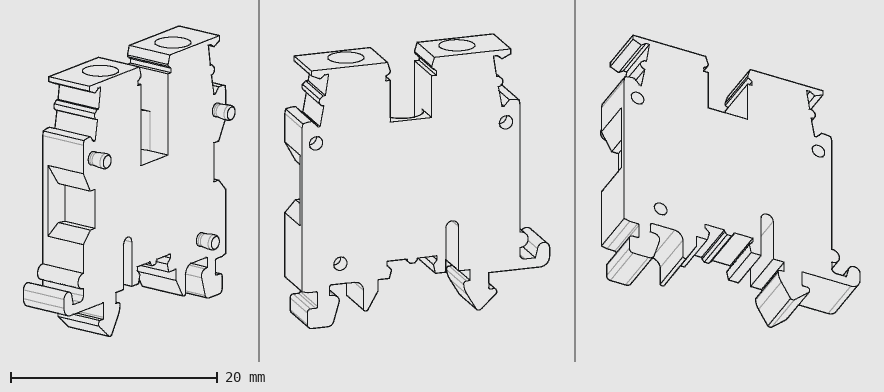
import cadquery as cq

thickness = 5.0
height = 26.25
body_half = 11.2
body_bottom = 4.23
foot_top = 3.7
foot_root = 5.0
hook_reach = 14.25
arm_inner_y = -6.06

gap_half = 2.12
gap_floor = 20.15
wall_ledge = 24.4

screw_diameter = 3.5
screw_depth = 2.0
screw_x = 2.8
screw_y = 5.7

cavity_x = 2.77
cavity_radius = gap_half
cavity_depth = 4.0

entry_wall = 0.65
entry_floor_wall = 1.33
entry_depth = 1.82
entry_taper_depth = 1.1
entry_mouth_bottom = 10.4
entry_mouth_top = 17.6
entry_floor_bottom = 11.6
entry_floor_top = 15.56

pin_places = [(9.76, 18.82), (-9.76, 18.82), (7.26, 6.29)]
pin_length = 1.8
pin_root_radius = 0.68
pin_neck_radius = 0.65
pin_head_radius = 0.74
pin_tip_radius = 0.62
pin_neck_start = 0.2
pin_neck_end = 0.45
pin_crown_start = 1.48
pin_barrel_middle = (0.9, 0.72)
pin_crown_middle = (1.71, 0.705)
socket_diameter = 1.35
socket_depth = pin_length

recess_top = 6.0

slot_width = 1.3
slot_y = -4.23
slot_top = 9.4

bead_radius = 0.78
bead_y = -11.25
bead_z = 6.7


def plate(steps):
    """Extrude a closed (Y, Z) outline through the thickness.

    A step is the next corner (y, z), or a pair (middle, end) for a round stretch.
    """
    outline = cq.Workplane("YZ").moveTo(*steps[0])
    for step in steps[1:]:
        if isinstance(step[0], tuple):
            outline = outline.threePointArc(*step)
        else:
            outline = outline.lineTo(*step)
    return outline.close().extrude(thickness)


def half_body():
    """The half of the body on the +Y side, with one terminal tower."""
    return plate([
        (0, body_bottom),
        (0, gap_floor),
        (gap_half, gap_floor),
        (gap_half, wall_ledge),
        (2.6, wall_ledge),
        (2.6, 24.85),
        (2.17, 25.15),
        (2.12, 25.35),
        (2.4, height),
        (10.25, height),
        (10.25, 25.75),
        (9.35, 25.33),
        (8.85, 25.7),
        (8.48, 25.7),
        (8.8, 23.58),
        (9.05, 23.58),
        (9.38, 23.27),
        ((9.42, 22.9), (8.97, 22.54)),
        (9.35, 20.48),
        (9.55, 20.48),
        (10.1, 21.08),
        ((10.65, 21.06), (11.12, 20.95)),
        (body_half, 20.5),
        (body_half, body_bottom),
    ])


def rail_recess():
    """Recess for the mounting rail, with a small stop in its roof."""
    return plate([
        (2.23, body_bottom),
        (1.99, 5.1),
        (2.47, 5.6),
        (2.47, recess_top),
        (0.4, recess_top),
        (0.35, 5.8),
        (0.1, 5.53),
        (-0.38, 5.53),
        (-0.62, 5.8),
        (-0.67, recess_top),
        (-2.67, recess_top),
        (-2.67, 5.6),
        (-2.3, 5.15),
        (-2.5, body_bottom),
    ])


def spring_slot():
    radius = slot_width / 2
    return plate([
        (slot_y + radius, body_bottom),
        (slot_y + radius, slot_top - radius),
        ((slot_y, slot_top), (slot_y - radius, slot_top - radius)),
        (slot_y - radius, body_bottom),
    ])


def fixed_foot():
    """Foot under the +Y end, hooked inwards around the rail edge."""
    return plate([
        (body_half, foot_root),
        (body_half, 3.86),
        (10.6, foot_top),
        (9.75, foot_top),
        ((9.65, 3.66), (9.62, 3.55)),
        (9.62, 2.2),
        ((9.67, 2.07), (9.8, 2.03)),
        (10.35, 2.03),
        ((10.57, 1.9), (10.65, 1.65)),
        (10.65, 0.45),
        ((10.53, 0.14), (10.25, 0)),
        (8.6, 0),
        ((8.2, 0.12), (7.97, 0.4)),
        (7.4, 2.35),
        ((7.43, 2.78), (7.95, 3.12)),
        (8.36, 3.18),
        (8.36, 4.05),
        ((8.3, 4.17), (8.1, body_bottom)),
        (8.1, foot_root),
    ])


def rail_claw():
    """Pointed claw beside the rail recess, rounded into the body."""
    return plate([
        (5.9, foot_root),
        (5.9, body_bottom),
        ((5.15, 3.95), (4.87, 3.3)),
        (4.87, 1.3),
        ((4.65, 1.18), (4.42, 1.3)),
        (3.39, 3.09),
        (3.39, foot_root),
    ])


def snap_foot():
    """Barbed foot under the -Y side."""
    return plate([
        (arm_inner_y, foot_root),
        (arm_inner_y, 3.14),
        (-5.7, 3.1),
        ((-5.45, 2.98), (-5.42, 2.75)),
        ((-5.52, 2.25), (-5.75, 1.75)),
        (-6.75, 0.08),
        ((-6.97, 0), (-7.15, 0.05)),
        (-8.76, 1.5),
        ((-8.8, 1.8), (-8.6, 2.03)),
        (-8.1, 2.03),
        ((-8.03, 2.08), (-8.0, 2.2)),
        (-8.0, foot_root),
    ])


def hook():
    """Arm reaching out along -Y and curling up at its end."""
    return plate([
        (arm_inner_y, foot_top),
        (-13.25, foot_top),
        ((-13.95, 3.99), (-hook_reach, 4.7)),
        (-hook_reach, 5.6),
        ((-13.6, 6.17), (-13.0, 5.6)),
        (-12.78, 4.7),
        (-11.7, 4.7),
        ((-11.35, 4.85), (-body_half, 5.2)),
        (arm_inner_y, 5.2),
    ])


def grip_bead():
    return (
        cq.Workplane("YZ")
        .center(bead_y, bead_z)
        .circle(bead_radius)
        .extrude(thickness)
    )


def screw_opening(side):
    return (
        cq.Workplane("XY", origin=(screw_x, side * screw_y, height))
        .circle(screw_diameter / 2)
        .extrude(-screw_depth)
    )


def gap_cavity():
    """U-shaped cavity with a round -X end, open on the +X face."""
    length = thickness - cavity_x
    floor = cq.Workplane("XY", origin=(cavity_x, 0, gap_floor))
    round_end = floor.circle(cavity_radius).extrude(-cavity_depth)
    straight = floor.rect(length, 2 * cavity_radius, centered=(False, True)).extrude(-cavity_depth)
    return round_end.union(straight)


def wire_entry(side):
    """Funnel open on the +X face, with a tapered mouth and a slanting inner wall."""
    mouth = body_half
    taper_end = body_half - entry_taper_depth
    floor = body_half - entry_depth
    funnel = plate([
        (side * mouth, entry_mouth_bottom),
        (side * taper_end, entry_floor_bottom),
        (side * floor, entry_floor_bottom),
        (side * floor, entry_floor_top),
        (side * taper_end, entry_floor_top),
        (side * mouth, entry_mouth_top),
    ])
    room_beyond_wall = (
        cq.Workplane("XY")
        .moveTo(entry_wall, side * mouth)
        .lineTo(entry_floor_wall, side * floor)
        .lineTo(thickness, side * floor)
        .lineTo(thickness, side * mouth)
        .close()
        .extrude(height)
    )
    return funnel.intersect(room_beyond_wall)


def pin(y, z):
    """Snap pin on the +X face, turned about its own X axis and rooted in the body."""
    return (
        cq.Workplane("XY", origin=(thickness, y, z))
        .lineTo(0, pin_root_radius)
        .lineTo(pin_neck_start, pin_neck_radius)
        .lineTo(pin_neck_end, pin_neck_radius)
        .threePointArc(pin_barrel_middle, (pin_crown_start, pin_head_radius))
        .threePointArc(pin_crown_middle, (pin_length, pin_tip_radius))
        .lineTo(pin_length, 0)
        .close()
        .revolve(360, (0, 0, 0), (1, 0, 0))
    )


def socket(y, z):
    return (
        cq.Workplane("YZ")
        .center(y, z)
        .circle(socket_diameter / 2)
        .extrude(socket_depth)
    )


body = half_body().union(half_body().mirror("XZ"))
for addition in (fixed_foot(), rail_claw(), snap_foot(), hook(), grip_bead()):
    body = body.union(addition)
body = body.cut(rail_recess()).cut(spring_slot()).cut(gap_cavity())
for end in (1, -1):
    body = body.cut(screw_opening(end)).cut(wire_entry(end))
for pin_y, pin_z in pin_places:
    body = body.cut(socket(pin_y, pin_z)).union(pin(pin_y, pin_z))

result = body.clean()